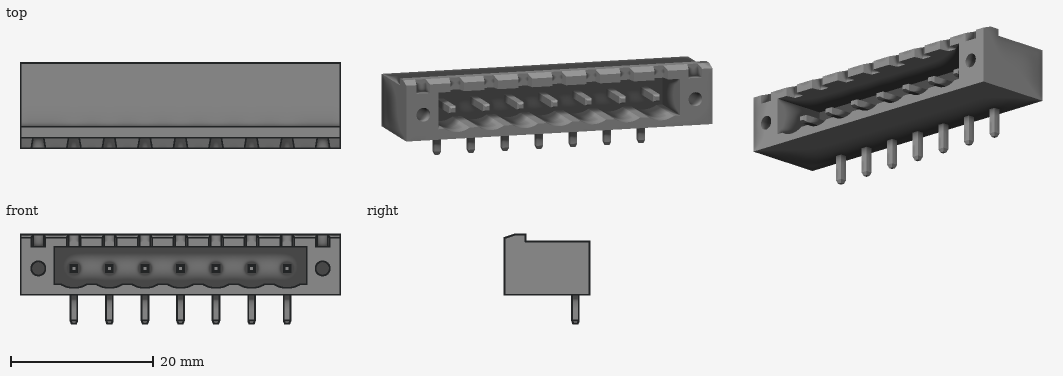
import cadquery as cq
import math

pole_count = 7
pitch = 5.0
end_margin = 2.5
housing_depth = 12.0
housing_height = 8.5
total_height = 12.6

lip_depth = 3.0
lip_rise = 1.0
lip_bevel_depth = 1.5
lip_bevel_drop = 0.5

cavity_width = 35.5
cavity_depth = 8.5
cavity_floor = 1.5
cavity_ceiling = 6.75
scallop_chord = 3.7
scallop_sag = 0.55

slot_front_width = 2.0
slot_back_width = 1.5
slot_depth = lip_bevel_depth

pin_size = 1.0
pin_height = 3.7
pin_setback = 10.0
pin_tip_recess = 2.0
tip_length = 0.5
tip_size = 0.6

insert_diameter = 4.0
insert_bore = 2.0
insert_length = 8.5

station_count = pole_count + 2
housing_length = (station_count - 1) * pitch + 2 * end_margin
stations = [(i - (station_count - 1) / 2) * pitch for i in range(station_count)]
pole_stations = stations[1:-1]
insert_stations = [stations[0], stations[-1]]
pin_tail_length = total_height - housing_height


def make_housing():
    """Extrude the side profile of the housing along X."""
    back_top = housing_height - lip_rise
    profile = [
        (0, 0),
        (housing_depth, 0),
        (housing_depth, back_top),
        (lip_depth, back_top),
        (lip_depth, housing_height),
        (lip_bevel_depth, housing_height),
        (0, housing_height - lip_bevel_drop),
    ]
    return cq.Workplane("YZ").polyline(profile).close().extrude(housing_length / 2, both=True)


def make_cavity():
    """Plug cavity open to the front, its floor scooped out below every pole."""
    half_width = cavity_width / 2
    half_chord = scallop_chord / 2
    outline = cq.Workplane("XZ").moveTo(-half_width, cavity_ceiling).lineTo(-half_width, cavity_floor)
    for x in pole_stations:
        outline = outline.lineTo(x - half_chord, cavity_floor)
        outline = outline.threePointArc((x, cavity_floor - scallop_sag), (x + half_chord, cavity_floor))
    outline = outline.lineTo(half_width, cavity_floor).lineTo(half_width, cavity_ceiling).close()
    return outline.extrude(-cavity_depth)


def make_coding_slot(x):
    """Slot through the lip that narrows towards the back."""
    half_front = slot_front_width / 2
    half_back = slot_back_width / 2
    outline = [
        (x - half_front, 0),
        (x + half_front, 0),
        (x + half_back, slot_depth),
        (x - half_back, slot_depth),
    ]
    slot_height = housing_height - cavity_ceiling
    return cq.Workplane("XY", origin=(0, 0, cavity_ceiling)).polyline(outline).close().extrude(slot_height)


def make_pin_leg(start, direction, length):
    """Square leg from start along direction, ending in a tapered tip; length includes the tip."""
    plane = cq.Plane(origin=start, xDir=(1, 0, 0), normal=direction)
    taper_angle = math.degrees(math.atan((pin_size - tip_size) / 2 / tip_length))
    shank_length = length - tip_length
    shank = cq.Workplane(plane).rect(pin_size, pin_size).extrude(shank_length)
    tip = (
        cq.Workplane(plane)
        .workplane(offset=shank_length)
        .rect(pin_size, pin_size)
        .extrude(tip_length, taper=taper_angle)
    )
    return shank.union(tip)


def make_pin(x):
    """Right-angle pin: one leg into the cavity, one leg down through the board."""
    half = pin_size / 2
    contact_start = (x, pin_setback + half, pin_height)
    contact_length = pin_setback + half - pin_tip_recess
    contact_leg = make_pin_leg(contact_start, (0, -1, 0), contact_length)
    solder_start = (x, pin_setback, pin_height + half)
    solder_length = pin_height + half + pin_tail_length
    solder_leg = make_pin_leg(solder_start, (0, 0, -1), solder_length)
    return contact_leg.union(solder_leg)


def make_insert_cylinder(x, diameter):
    """Cylinder on the insert axis, reaching back from the mating face."""
    return cq.Workplane("XZ", origin=(x, 0, pin_height)).circle(diameter / 2).extrude(-insert_length)


result = make_housing().cut(make_cavity())
for x in stations:
    result = result.cut(make_coding_slot(x))
for x in pole_stations:
    result = result.union(make_pin(x))

for x in insert_stations:
    body = make_insert_cylinder(x, insert_diameter)
    bore = make_insert_cylinder(x, insert_bore)
    result = result.cut(body, clean=False).union(body.cut(bore), clean=False)